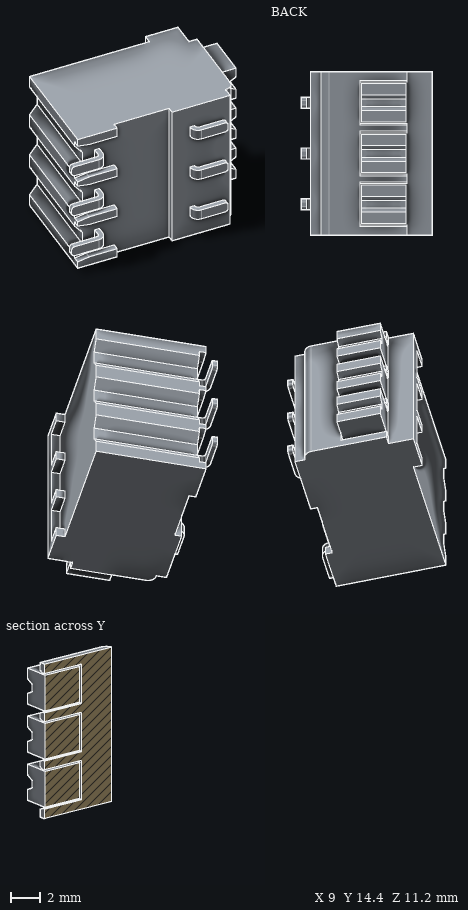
import cadquery as cq

POLES = 3
PITCH = 3.48
HEIGHT = 11.2
WIDTH = 8.37
FLANGE = 0.62
SHOULDER_Y = 11.53
FLANGE_FRONT_Y = 9.07
FLANGE_BAND_FRONT_Y = 10.51

TONGUE_DEPTH = 0.62
TONGUE_LEFT_X = 1.75
TONGUE_RIGHT_X = 7.65
TONGUE_CORNER_RADIUS = 0.58

PAD_HEIGHT = 0.47
FRONT_PAD_END_Y = 2.99
BACK_PAD_START_Y = 7.15

CHAMBER_HEIGHT = 2.82
LEVER_MOUTH_HEIGHT = 3.06
LEVER_MOUTH_DEPTH = 0.27
RECESS_MOUTH_HEIGHT = 3.12
RECESS_MOUTH_DEPTH = 0.86

GROOVE_DEPTH = 0.58
GROOVE_FLOOR = 0.98
GROOVE_MOUTH = 2.42

LEVER_LEFT_X = 1.81
LEVER_RIGHT_X = 4.87
LEVER_TIP_Y = 13.63
LEVER_HEIGHT = 2.62
LEVER_CLEARANCE = 0.1
NOTCH_DEPTH = 0.5
NOTCH_MOUTH = 1.06
NOTCH_FLOOR = 0.53

PIN_OUTER_X = 9.0
PIN_THICKNESS = 0.36
PIN_HEIGHT = 0.78
PIN_BEND_RADIUS = 0.2
PIN_TIP_RADIUS = 0.23
FRONT_PIN_Y = 1.87
FRONT_PIN_TIP_Y = -0.75
BACK_PIN_Y = 8.5
BACK_PIN_TIP_Y = 11.09

TONGUE_Y = SHOULDER_Y + TONGUE_DEPTH
RIGHT_WALL_X = WIDTH - PAD_HEIGHT
POLE_HEIGHTS = [(i - (POLES - 1) / 2) * PITCH for i in range(POLES)]


def prism_along_x(points, x_start, x_end):
    """Extrude a (Y, Z) outline from x_start to x_end."""
    return cq.Workplane("YZ").workplane(offset=x_start).polyline(points).close().extrude(x_end - x_start)


def prism_along_z(outline, height):
    """Extrude a closed XY outline evenly about Z = 0."""
    return outline.extrude(height / 2, both=True)


def box_between(x_start, x_end, y_start, y_end, height):
    """Box centred on Z = 0 between the given X and Y limits."""
    size = (x_end - x_start, y_end - y_start, height)
    return cq.Workplane("XY").box(*size).translate(((x_start + x_end) / 2, (y_start + y_end) / 2, 0))


def flared_outline(inner_y, taper_y, mouth_y, inner_height, mouth_height):
    """(Y, Z) outline of an opening that widens between taper_y and mouth_y."""
    upper = [(inner_y, inner_height / 2), (taper_y, inner_height / 2), (mouth_y, mouth_height / 2)]
    return upper + [(y, -z) for y, z in reversed(upper)]


def housing_block():
    corner_x = TONGUE_RIGHT_X - TONGUE_CORNER_RADIUS
    corner_y = TONGUE_Y - TONGUE_CORNER_RADIUS
    outline = (
        cq.Workplane("XY")
        .moveTo(FLANGE, 0)
        .lineTo(WIDTH, 0)
        .lineTo(WIDTH, FRONT_PAD_END_Y)
        .lineTo(RIGHT_WALL_X, FRONT_PAD_END_Y)
        .lineTo(RIGHT_WALL_X, BACK_PAD_START_Y)
        .lineTo(WIDTH, BACK_PAD_START_Y)
        .lineTo(WIDTH, SHOULDER_Y)
        .lineTo(TONGUE_RIGHT_X, SHOULDER_Y)
        .lineTo(TONGUE_RIGHT_X, corner_y)
        .radiusArc((corner_x, TONGUE_Y), -TONGUE_CORNER_RADIUS)
        .lineTo(TONGUE_LEFT_X, TONGUE_Y)
        .lineTo(TONGUE_LEFT_X, SHOULDER_Y)
        .lineTo(0, SHOULDER_Y)
        .lineTo(0, FLANGE_FRONT_Y)
        .lineTo(FLANGE, FLANGE_FRONT_Y)
        .close()
    )
    return prism_along_z(outline, HEIGHT)


def pole_cutters():
    """Everything removed from the housing for the pole at Z = 0."""
    flange_window = box_between(0, FLANGE, FLANGE_FRONT_Y, FLANGE_BAND_FRONT_Y, CHAMBER_HEIGHT)

    lever_opening = prism_along_x(
        flared_outline(SHOULDER_Y, TONGUE_Y - LEVER_MOUTH_DEPTH, TONGUE_Y, CHAMBER_HEIGHT, LEVER_MOUTH_HEIGHT),
        TONGUE_LEFT_X,
        LEVER_RIGHT_X + LEVER_CLEARANCE,
    )
    pin_recess = prism_along_x(
        flared_outline(FRONT_PAD_END_Y, RECESS_MOUTH_DEPTH, 0, CHAMBER_HEIGHT, RECESS_MOUTH_HEIGHT),
        RIGHT_WALL_X,
        WIDTH,
    )
    wire_groove = prism_along_x(
        [
            (0, GROOVE_MOUTH / 2),
            (GROOVE_DEPTH, GROOVE_FLOOR / 2),
            (GROOVE_DEPTH, -GROOVE_FLOOR / 2),
            (0, -GROOVE_MOUTH / 2),
        ],
        FLANGE,
        WIDTH,
    )
    return [flange_window, lever_opening, pin_recess, wire_groove]


def lever():
    """Release lever with a tapered notch in its tip."""
    upper = [
        (SHOULDER_Y, LEVER_HEIGHT / 2),
        (LEVER_TIP_Y, LEVER_HEIGHT / 2),
        (LEVER_TIP_Y, NOTCH_MOUTH / 2),
        (LEVER_TIP_Y - NOTCH_DEPTH, NOTCH_FLOOR / 2),
    ]
    lower = [(y, -z) for y, z in reversed(upper)]
    return prism_along_x(upper + lower, LEVER_LEFT_X, LEVER_RIGHT_X)


def pin(root_y, tip_y):
    """Pin leaving the right wall at root_y and bent towards tip_y."""
    toward_tip = 1 if tip_y > root_y else -1
    inner_x = PIN_OUTER_X - PIN_THICKNESS
    inner_y = root_y + toward_tip * PIN_THICKNESS
    outer_radius = PIN_BEND_RADIUS + PIN_THICKNESS
    bend_x = inner_x - PIN_BEND_RADIUS
    bend_y = inner_y + toward_tip * PIN_BEND_RADIUS
    outline = (
        cq.Workplane("XY")
        .moveTo(RIGHT_WALL_X, root_y)
        .lineTo(bend_x, root_y)
        .radiusArc((PIN_OUTER_X, bend_y), -toward_tip * outer_radius)
        .lineTo(PIN_OUTER_X, tip_y)
        .lineTo(inner_x, tip_y)
        .lineTo(inner_x, bend_y)
        .radiusArc((bend_x, inner_y), toward_tip * PIN_BEND_RADIUS)
        .lineTo(RIGHT_WALL_X, inner_y)
        .close()
    )
    tip_face = ">Y" if toward_tip > 0 else "<Y"
    return prism_along_z(outline, PIN_HEIGHT).faces(tip_face).edges("|X").fillet(PIN_TIP_RADIUS)


result = housing_block()
for pole_z in POLE_HEIGHTS:
    for cutter in pole_cutters():
        result = result.cut(cutter.translate((0, 0, pole_z)))
    for addition in [lever(), pin(FRONT_PIN_Y, FRONT_PIN_TIP_Y), pin(BACK_PIN_Y, BACK_PIN_TIP_Y)]:
        result = result.union(addition.translate((0, 0, pole_z)))